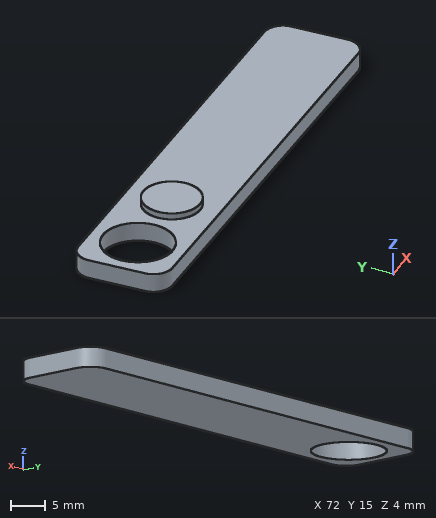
import cadquery as cq

length = 72.0
width = 15.0
total_height = 4.0
boss_height = 1.0
plate_thickness = total_height - boss_height
corner_radius = 3.0

hole_diameter = 11.0
hole_x = width / 2

boss_diameter = 9.0
boss_x = 19.5


def make_plate():
    """Flat plate with rounded vertical corners, starting at X = 0 and centred on Y."""
    plate = cq.Workplane("XY").box(length, width, plate_thickness, centered=(False, True, False))
    return plate.edges("|Z").fillet(corner_radius)


def make_hole():
    """Cylinder that cuts the key ring hole through the plate."""
    return cq.Workplane("XY").center(hole_x, 0).circle(hole_diameter / 2).extrude(plate_thickness)


def make_boss():
    """Raised disc, running down through the plate so that it fuses with it."""
    return cq.Workplane("XY").center(boss_x, 0).circle(boss_diameter / 2).extrude(total_height)


result = make_plate().cut(make_hole()).union(make_boss())